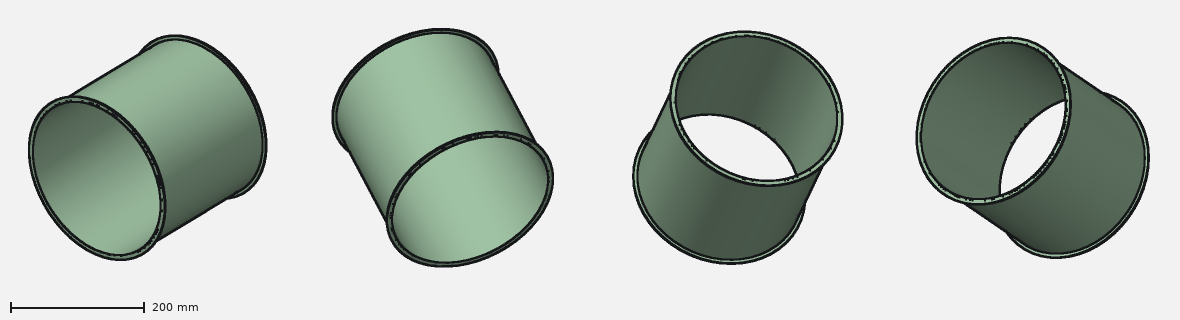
import cadquery as cq

inner_diameter = 249.0
wall_thickness = 2.0
flange_diameter = 265.0
flange_thickness = 2.0
total_length = 238.0

tube_diameter = inner_diameter + 2 * wall_thickness
half_length = total_length / 2


def ring(outer_diameter, length, start_y):
    """Ring around the Y axis, running from start_y toward +Y, with the duct bore."""
    plane = cq.Workplane("XZ", origin=(0, start_y, 0))
    return plane.circle(outer_diameter / 2).circle(inner_diameter / 2).extrude(-length)


tube = ring(tube_diameter, total_length, -half_length)
result = tube
for flange_start in (-half_length, half_length - flange_thickness):
    result = result.union(ring(flange_diameter, flange_thickness, flange_start))